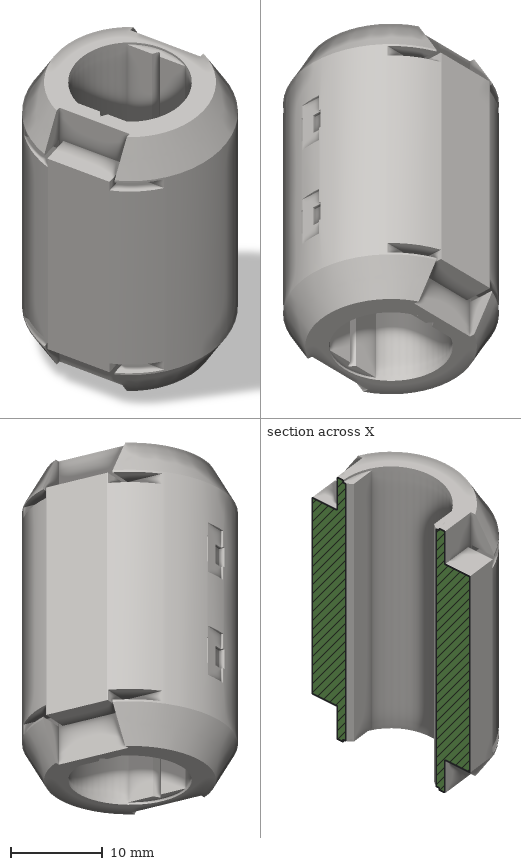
import cadquery as cq

LENGTH = 36.0
HALF_LENGTH = LENGTH / 2
BODY_DIAMETER = 23.5
BODY_RADIUS = BODY_DIAMETER / 2
FLAT_SPACING = 22.2
END_RADIUS = 9.35
TAPER_LENGTH = 4.25

BORE_RADIUS = 6.75
BORE_FLAT_DISTANCE = 5.65
BORE_FLAT_RECESS = 0.3
GROOVE_HALF_WIDTH = 0.5
GROOVE_DEPTH = 0.72

NOTCH_WIDTH = 8.85
NOTCH_BACK = 7.65
NOTCH_DEPTH = 4.5
TONGUE_WIDTH = 7.85

POCKET_BACK = 7.75
POCKET_HEIGHT = 1.22
POCKET_FLOOR = NOTCH_DEPTH + POCKET_HEIGHT

WINDOW_CENTERS_Z = (-6.12, 6.12)
WINDOW_HEIGHT = 5.85
WINDOW_Y = (-0.2, 2.5)
WINDOW_FLOOR = 11.45
CATCH_CENTERS_Z = (-6.12, 5.95)
CATCH_HEIGHT = 2.3
CATCH_Y = (-0.45, 0.95)
CATCH_FLOOR = 11.1
RELIEF_HEIGHT = 3.02
RELIEF_Y = (WINDOW_Y[1], 2.7)
RELIEF_FLOOR = 11.25


def block(x_range, y_range, z_range):
    """Box spanning the given (low, high) range along each axis."""
    ranges = (x_range, y_range, z_range)
    size = [high - low for low, high in ranges]
    center = [(high + low) / 2 for low, high in ranges]
    return cq.Workplane("XY").box(*size).translate(tuple(center))


def both_sides_and_ends(shape):
    """The shape plus its mirror images across the XZ and XY planes."""
    pair = shape.union(shape.mirror("XZ"))
    return pair.union(pair.mirror("XY"))


def make_body():
    """Cylinder with tapered ends and two outer flats."""
    shoulder_z = HALF_LENGTH - TAPER_LENGTH
    profile = [
        (0, -HALF_LENGTH),
        (END_RADIUS, -HALF_LENGTH),
        (BODY_RADIUS, -shoulder_z),
        (BODY_RADIUS, shoulder_z),
        (END_RADIUS, HALF_LENGTH),
        (0, HALF_LENGTH),
    ]
    turned = cq.Workplane("XZ").polyline(profile).close().revolve(360, (0, 0), (0, 1))
    return turned.intersect(cq.Workplane("XY").box(BODY_DIAMETER, FLAT_SPACING, LENGTH))


def make_bore():
    """Volume of the bore: a cylinder less two flat pads, each with a V groove along it."""
    bore = cq.Workplane("XY").circle(BORE_RADIUS).extrude(HALF_LENGTH, both=True)
    pad_half_length = HALF_LENGTH - BORE_FLAT_RECESS
    pad = block(
        (-BORE_RADIUS, BORE_RADIUS),
        (BORE_FLAT_DISTANCE, BORE_RADIUS),
        (-pad_half_length, pad_half_length),
    )
    groove_points = [
        (-GROOVE_HALF_WIDTH, BORE_FLAT_DISTANCE),
        (0, BORE_FLAT_DISTANCE + GROOVE_DEPTH),
        (GROOVE_HALF_WIDTH, BORE_FLAT_DISTANCE),
    ]
    groove = cq.Workplane("XY").polyline(groove_points).close().extrude(pad_half_length, both=True)
    pad = pad.cut(groove)
    return bore.cut(pad).cut(pad.mirror("XZ"))


def make_end_notches():
    """Notches through the tapers, each widening into pockets on both sides of a tongue."""
    floor_z = HALF_LENGTH - NOTCH_DEPTH
    pocket_z = HALF_LENGTH - POCKET_FLOOR
    notch = block(
        (-NOTCH_WIDTH / 2, NOTCH_WIDTH / 2), (NOTCH_BACK, BODY_RADIUS), (pocket_z, HALF_LENGTH)
    )
    pockets = block((-BODY_RADIUS, BODY_RADIUS), (POCKET_BACK, BODY_RADIUS), (pocket_z, floor_z))
    tongue = block(
        (-TONGUE_WIDTH / 2, TONGUE_WIDTH / 2), (NOTCH_BACK, BODY_RADIUS), (pocket_z, floor_z)
    )
    return both_sides_and_ends(notch.union(pockets).cut(tongue))


def latch_step(floor, y_range, height, center_z):
    """Shallow recess in the -X side, from its flat floor out past the surface."""
    z_range = (center_z - height / 2, center_z + height / 2)
    return block((-BODY_RADIUS, -floor), y_range, z_range)


def cut_latch_windows(part):
    """The part with each window, its deeper catch step and its edge relief cut away."""
    for window_z, catch_z in zip(WINDOW_CENTERS_Z, CATCH_CENTERS_Z):
        part = part.cut(latch_step(WINDOW_FLOOR, WINDOW_Y, WINDOW_HEIGHT, window_z))
        part = part.cut(latch_step(CATCH_FLOOR, CATCH_Y, CATCH_HEIGHT, catch_z))
        part = part.cut(latch_step(RELIEF_FLOOR, RELIEF_Y, RELIEF_HEIGHT, catch_z))
    return part


sleeve = make_body().cut(make_bore()).cut(make_end_notches())
result = cut_latch_windows(sleeve)